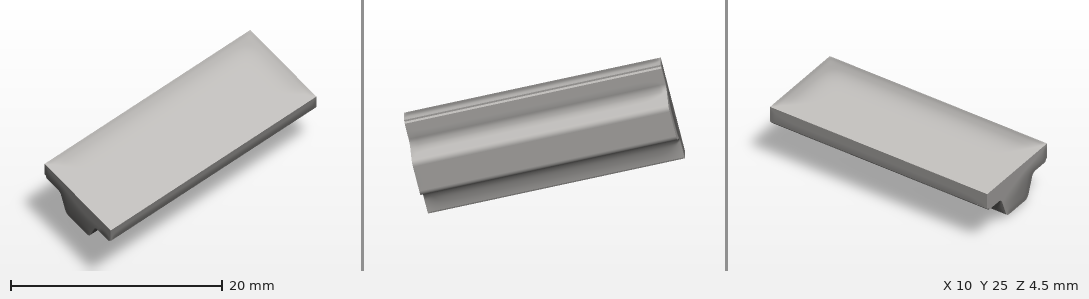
import cadquery as cq
import math

length = 25.0
pitch = 10.0
height = 4.5

tooth_height = 2.5
root_width = 5.3
flank_angle = 20.0
tooth_radius = 0.6

step_width = 0.18
step_height = 0.3
step_inset = 0.082

root_z = tooth_height
step_z = root_z + step_height
half_pitch = pitch / 2
half_step = half_pitch - step_width
half_root = root_width / 2
half_tip = half_root - tooth_height * math.tan(math.radians(flank_angle))

right_side = [
    (half_tip, 0),
    (half_root, root_z),
    (half_step - step_inset, root_z),
    (half_step, step_z),
    (half_pitch, step_z),
    (half_pitch, height),
]
left_side = [(-x, z) for x, z in reversed(right_side)]

segment = (
    cq.Workplane("XZ")
    .polyline(right_side + left_side)
    .close()
    .extrude(length / 2, both=True)
)


def round_edge_pair(body, half_width, z, radius):
    """Round the two mirrored lengthwise edges at +/-half_width and height z."""
    for x in (-half_width, half_width):
        body = body.edges(cq.selectors.NearestToPointSelector((x, 0, z))).fillet(radius)
    return body


segment = round_edge_pair(segment, half_tip, 0, tooth_radius)
segment = round_edge_pair(segment, half_root, root_z, tooth_radius)

result = segment